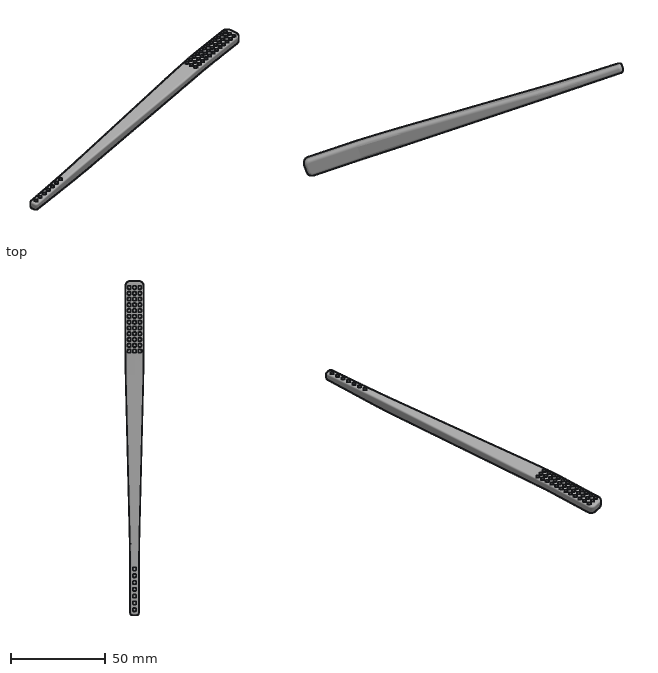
import cadquery as cq
import math

length = 177.7
end_y = length / 2
grip_width = 10.0
tip_width = 4.8

grip_flank_corner_y = 46.5
tip_flank_corner_y = -56.9
flank_blend_radius = 1000.5

top_grip_end = (end_y, 5.7)
top_shoulder_start = (59.2, 7.3)
top_shoulder_end = (39.0, 7.3)
top_shoulder_crown = 0.05
top_tip_start = (-50.8, 7.0)
top_tip_end = (-end_y, 7.0)

bottom_tip_end = (-end_y, 2.0)
belly_corner = (-52.6, -0.2)
belly_radius = 300.3
hollow_start = (34.0, 1.6)
hollow_middle = (46.2, 1.8)
hollow_end = (58.6, 1.8)
bottom_grip_end = (end_y, 0.0)

grip_corner_radius = 3.0
tip_corner_radius = 1.5
top_edge_radius = 1.0
bottom_edge_radius = 2.0

dimple_diameter = 2.0
dimple_depth = 2.0
grip_rows = 12
grip_columns = 3
grip_column_pitch = 2.8
grip_first_row_y = 85.3
grip_last_row_y = 51.5
tip_rows = 7
tip_first_row_y = -64.2
tip_last_row_y = -85.8


def add_blend(sketch, before, corner, after, radius):
    """Draw a line up to a corner of the outline and the arc that rounds it."""
    vertex = cq.Vector(*corner)
    to_before = cq.Vector(*before).sub(vertex).normalized()
    to_after = cq.Vector(*after).sub(vertex).normalized()
    half_angle = to_before.getAngle(to_after) / 2
    setback = radius / math.tan(half_angle)
    bulge = radius / math.sin(half_angle) - radius
    start = vertex.add(to_before.multiply(setback))
    middle = vertex.add(to_before.add(to_after).normalized().multiply(bulge))
    end = vertex.add(to_after.multiply(setback))
    return sketch.lineTo(start.x, start.y).threePointArc((middle.x, middle.y), (end.x, end.y))


def plan_half(height):
    """Prism over the +X half of the plan outline, from below to above Z = 0."""
    grip_end = (grip_width / 2, end_y)
    grip_corner = (grip_width / 2, grip_flank_corner_y)
    tip_corner = (tip_width / 2, tip_flank_corner_y)
    tip_end = (tip_width / 2, -end_y)
    sketch = cq.Workplane("XY").workplane(offset=-height / 2).moveTo(0, end_y).lineTo(*grip_end)
    sketch = add_blend(sketch, grip_end, grip_corner, tip_corner, flank_blend_radius)
    sketch = add_blend(sketch, grip_corner, tip_corner, tip_end, flank_blend_radius)
    return sketch.lineTo(*tip_end).lineTo(0, -end_y).close().extrude(height)


def profile_half():
    """Prism over the side profile, reaching from the middle plane to +X."""
    crown_y = (top_shoulder_start[0] + top_shoulder_end[0]) / 2
    crown_z = top_shoulder_start[1] + top_shoulder_crown
    sketch = cq.Workplane("YZ").moveTo(*top_grip_end).lineTo(*top_shoulder_start)
    sketch = sketch.threePointArc((crown_y, crown_z), top_shoulder_end)
    sketch = sketch.lineTo(*top_tip_start).lineTo(*top_tip_end).lineTo(*bottom_tip_end)
    sketch = add_blend(sketch, bottom_tip_end, belly_corner, hollow_start, belly_radius)
    sketch = sketch.lineTo(*hollow_start).threePointArc(hollow_middle, hollow_end)
    return sketch.lineTo(*bottom_grip_end).close().extrude(grip_width)


def round_border(solid, direction, radius):
    """Fillet the border of the chain of faces that look up (direction 1) or down (-1)."""
    nearly_level = 0.9
    chain = [face for face in solid.faces().vals() if face.normalAt().z * direction > nearly_level]
    edges = [edge for face in chain for edge in face.Edges()]
    border = [edge for edge in edges if sum(edge.isSame(other) for other in edges) == 1]
    return solid.newObject(border).fillet(radius)


def evenly(first, last, count):
    """Evenly spaced places from first to last."""
    return [first + (last - first) * i / (count - 1) for i in range(count)]


def dimple_pins(body):
    """Pins that fill the dimples, their lower ends parallel to the top face."""
    half_spread = grip_column_pitch * (grip_columns - 1) / 2
    spots = [
        (x, y)
        for y in evenly(grip_first_row_y, grip_last_row_y, grip_rows)
        for x in evenly(-half_spread, half_spread, grip_columns)
    ]
    spots += [(0, y) for y in evenly(tip_first_row_y, tip_last_row_y, tip_rows)]
    pin_base_z = (bottom_grip_end[1] + top_grip_end[1]) / 2
    pin_top_z = top_shoulder_start[1] + dimple_depth
    pins = cq.Workplane("XY").workplane(offset=pin_base_z).pushPoints(spots)
    pins = pins.circle(dimple_diameter / 2).extrude(pin_top_z - pin_base_z)
    return pins.cut(body.translate((0, 0, -dimple_depth)))


half = plan_half(4 * top_shoulder_start[1]).intersect(profile_half())
body = half.union(half.mirror("YZ"))
body = body.faces(">Y").edges("|Z").edges("<X or >X").fillet(grip_corner_radius)
body = body.faces("<Y").edges("|Z").edges("<X or >X").fillet(tip_corner_radius)
body = round_border(body, 1, top_edge_radius)
body = round_border(body, -1, bottom_edge_radius)

result = body.cut(dimple_pins(body))